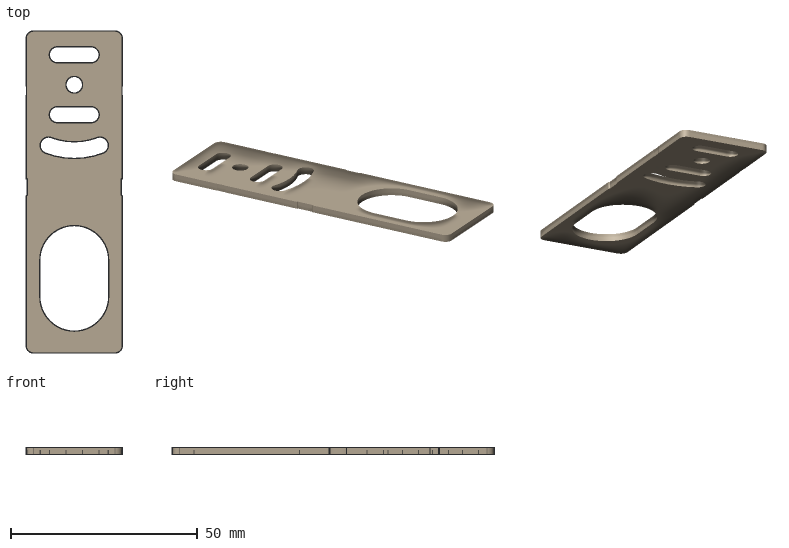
import cadquery as cq
import math

length = 86.2
width = 25.8
thickness = 2.0
corner_radius = 2.0

middle_notch = (3.5, -1.1, 0.3)
upper_notch = (25.9, 28.45, 0.1)
ramp_run = 0.3

hole_diameter = 4.4
hole_y = 28.7
slot_spacing = 8.0
slot_length = 13.3
slot_height = 4.2

curve_radius = 19.4
curve_bottom_y = 11.2
curve_half_span = 6.9
curve_width = hole_diameter

window_width = 18.4
window_length = 28.2
window_y = -23.1


def upright_cutter(sketch):
    """Extrude a closed outline through the full plate thickness."""
    return sketch.extrude(thickness)


def edge_notch(side, square_end_y, ramp_end_y, depth):
    """Shallow cut in one long edge, square at one end and ramped at the other."""
    edge_x = side * width / 2
    floor_x = edge_x - side * depth
    ramp_start_y = ramp_end_y - math.copysign(ramp_run, ramp_end_y - square_end_y)
    return upright_cutter(
        cq.Workplane("XY")
        .moveTo(edge_x, square_end_y)
        .lineTo(floor_x, square_end_y)
        .lineTo(floor_x, ramp_start_y)
        .lineTo(edge_x, ramp_end_y)
        .close()
    )


def straight_slot(center_y):
    return upright_cutter(cq.Workplane("XY").center(0, center_y).slot2D(slot_length, slot_height))


def curved_slot():
    """Constant-width slot along an arc, with round ends."""
    half_width = curve_width / 2
    inner_radius = curve_radius - half_width
    outer_radius = curve_radius + half_width
    center_y = curve_bottom_y + curve_radius
    end_angle = math.asin(curve_half_span / curve_radius)

    def arc_point(radius, angle):
        return (radius * math.sin(angle), center_y - radius * math.cos(angle))

    def end_tip(side):
        x, y = arc_point(curve_radius, side * end_angle)
        return (x + side * half_width * math.cos(end_angle), y + half_width * math.sin(end_angle))

    return upright_cutter(
        cq.Workplane("XY")
        .moveTo(*arc_point(outer_radius, -end_angle))
        .threePointArc(arc_point(outer_radius, 0), arc_point(outer_radius, end_angle))
        .threePointArc(end_tip(1), arc_point(inner_radius, end_angle))
        .threePointArc(arc_point(inner_radius, 0), arc_point(inner_radius, -end_angle))
        .threePointArc(end_tip(-1), arc_point(outer_radius, -end_angle))
        .close()
    )


plate = cq.Workplane("XY").box(width, length, thickness, centered=(True, True, False))
plate = plate.edges("|Z").fillet(corner_radius)

for notch in (middle_notch, upper_notch):
    for side in (-1, 1):
        plate = plate.cut(edge_notch(side, *notch))

for side in (-1, 1):
    plate = plate.cut(straight_slot(hole_y + side * slot_spacing))

round_hole = upright_cutter(cq.Workplane("XY").center(0, hole_y).circle(hole_diameter / 2))
window = upright_cutter(cq.Workplane("XY").center(0, window_y).slot2D(window_length, window_width, 90))

result = plate.cut(round_hole).cut(curved_slot()).cut(window)